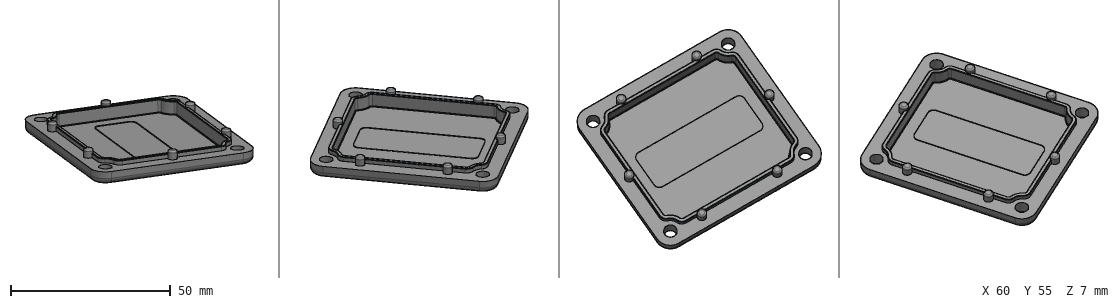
import cadquery as cq
import math

length = 60.0
width = 55.0
plate_height = 4.2
corner_radius = 5.0
bottom_fillet = 2.0
side_draft = 1.0

hole_diameter = 4.2
hole_x = length / 2 - corner_radius
hole_y = width / 2 - corner_radius

rim_length = 50.9
rim_width = 45.6
rim_height = 1.5
rim_wall = 1.3
rim_corner_relief = 3.6
rim_blend_radius = 2.4
rim_edge_chamfer = 0.2
rim_top = plate_height + rim_height

floor_thickness = 1.3
cavity_depth = rim_top - floor_thickness
wall_draft = 1.5
floor_edge_chamfer = 0.25

label_length = 39.95
label_width = 14.05
label_corner_radius = 2.0
label_depth = 0.25

total_height = 7.0
pin_diameter = 3.0
pin_tip_radius = 0.6
end_pin_x = 26.0
side_pin_x = 14.0
side_pin_y = 23.5


def four_corners(x, y):
    return [(sx * x, sy * y) for sx in (-1, 1) for sy in (-1, 1)]


hole_centres = four_corners(hole_x, hole_y)
pin_centres = four_corners(side_pin_x, side_pin_y) + [(-end_pin_x, 0), (end_pin_x, 0)]


def make_plate():
    """Rounded plate, drafted inward towards its rounded underside."""
    return (
        cq.Workplane("XY", origin=(0, 0, plate_height))
        .sketch()
        .rect(length, width)
        .vertices()
        .fillet(corner_radius)
        .finalize()
        .extrude(-plate_height, taper=side_draft)
        .faces("<Z")
        .edges()
        .fillet(bottom_fillet)
    )


def blend_offset(relief, blend, edge_gap):
    """Distance along an edge from a screw hole to the centre of the blend arc near it."""
    return math.sqrt((relief + blend) ** 2 - (edge_gap + blend) ** 2)


def rim_outline(height, inset):
    """Rim rectangle with corners scooped around the screw holes, moved inward by inset."""
    half_x = rim_length / 2 - inset
    half_y = rim_width / 2 - inset
    relief = rim_corner_relief + inset
    blend = rim_blend_radius - inset

    top_blend_x = hole_x - blend_offset(relief, blend, hole_y - half_y)
    top_blend_y = half_y - blend
    side_blend_x = half_x - blend
    side_blend_y = hole_y - blend_offset(relief, blend, hole_x - half_x)

    part_way = relief / (relief + blend)
    scoop_start = (hole_x + (top_blend_x - hole_x) * part_way, hole_y + (top_blend_y - hole_y) * part_way)
    scoop_end = (hole_x + (side_blend_x - hole_x) * part_way, hole_y + (side_blend_y - hole_y) * part_way)

    return (
        cq.Workplane("XY", origin=(0, 0, height))
        .moveTo(0, half_y)
        .lineTo(top_blend_x, half_y)
        .tangentArcPoint(scoop_start, relative=False)
        .tangentArcPoint(scoop_end, relative=False)
        .tangentArcPoint((half_x, side_blend_y), relative=False)
        .lineTo(half_x, 0)
        .mirrorX()
        .mirrorY()
    )


def make_rim(cavity):
    """Rim standing on the plate, with both its top edges bevelled."""
    wall = rim_outline(plate_height, 0).extrude(rim_height).cut(cavity)
    return wall.faces(">Z").edges().chamfer(rim_edge_chamfer)


def make_cavity():
    """Drafted pocket that narrows towards the floor, with a bevel around the floor."""
    pocket = rim_outline(rim_top, rim_wall).extrude(-cavity_depth, taper=wall_draft)
    return pocket.faces("<Z").edges().chamfer(floor_edge_chamfer)


def make_label_recess():
    return (
        cq.Workplane("XY", origin=(0, 0, floor_thickness - label_depth))
        .rect(label_length, label_width)
        .extrude(label_depth)
        .edges("|Z")
        .fillet(label_corner_radius)
    )


def make_pins():
    """Pins with a rounded tip, standing on the plate."""
    return (
        cq.Workplane("XY", origin=(0, 0, plate_height))
        .pushPoints(pin_centres)
        .circle(pin_diameter / 2)
        .extrude(total_height - plate_height)
        .faces(">Z")
        .edges()
        .fillet(pin_tip_radius)
    )


def make_screw_holes():
    return cq.Workplane("XY").pushPoints(hole_centres).circle(hole_diameter / 2).extrude(plate_height)


cavity = make_cavity()
body = make_plate().cut(cavity).cut(make_label_recess()).cut(make_screw_holes())
result = body.union(make_rim(cavity)).union(make_pins())